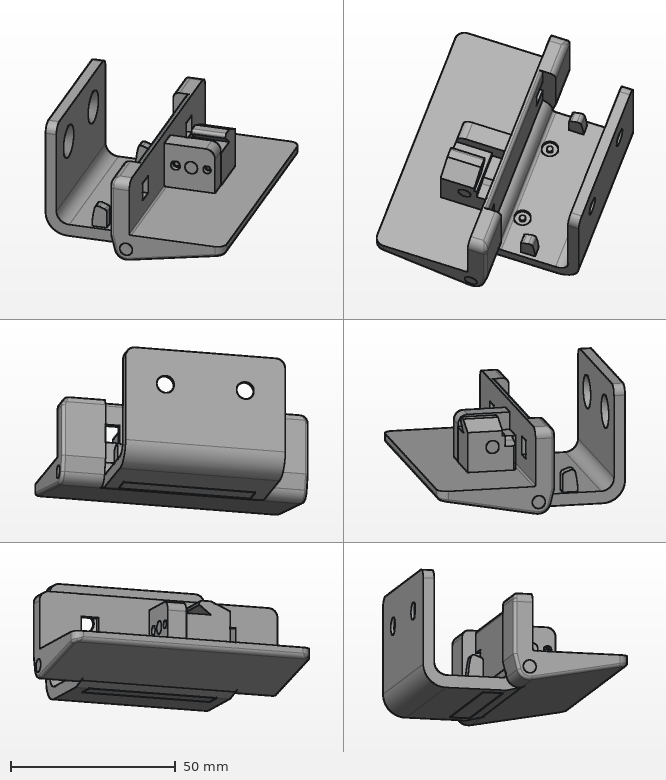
import cadquery as cq
import math

hinge_x = 29.9
hinge_z = 5.15
hinge_radius = 3.9
hinge_pin_radius = 2.0

bracket_width = 49.9
bracket_top = 36.7
bracket_wall = 3.5
bracket_bottom = 0.15
base_thickness = 3.85
bend_inner_radius = 4.0
bend_outer_radius = 7.0
bracket_corner_radius = 3.0
barrel_fillet = 1.0
slant_start_x = 26.0

mount_spacing = 24.95
mount_height = 25.7
mount_hole_radius = 2.7
mount_straight_depth = 1.0

hook_spacing = 44.1
hook_width = 3.2
hook_left = 14.4
hook_right = 19.1
hook_flank_mid_x = 14.7
hook_peak_x = 15.5
hook_peak_z = 11.25
hook_shoulder_z = 9.9
hook_corner_radius = 1.1

insert_left = 19.8
insert_right = slant_start_x
insert_length = 41.2
insert_top = 3.1
well_x = 22.4
well_radius = 2.55
post_radius = 0.9

door_length = 77.0
door_left = 24.9
door_right = 61.0
door_top = 28.1
wall_right = 30.9
plate_top = 10.1
plate_end_bottom = 7.1
slant_top = 9.0
door_corner_radius = 3.0
wall_top_radius = 2.0
plate_end_radius = 1.55
door_edge_radius = 1.0
inner_corner_radius = 0.55

recess_wall_x = 29.1
recess_edge_radius = 1.0
window_width = 5.55
window_bottom = 15.5
window_top = 21.2

block_right = 47.0
block_width = 6.0
block_top = 24.65
block_corner_radius = 3.0
spindle_x = 39.4
spindle_z = 17.6
spindle_radius = 2.0
socket_depth = 2.0
socket_tip_height = 0.7
socket_offset = 5.0
inner_socket_radius = 1.5
outer_socket_radius = 1.2

slider_back = 17.1
slider_left = 35.5
slider_right = 47.1
slider_base_top = 21.0
thumb_left = 36.35
thumb_top = 25.25
thumb_crest_y = 10.85
thumb_lip_y = 7.15
thumb_back_z = 22.55
thumb_lip_bottom = 23.9
thumb_lip_radius = 0.9
tongue_left = 31.95
tongue_top = 19.25
tongue_step_y = 12.6
tongue_step_drop = 0.8
tongue_back_drop = 1.6
tongue_bevel_x = 0.85
tongue_bevel_y = 1.4


def side_profile():
    """Sketch plane at Y = 0 whose axes are X and Z."""
    return cq.Workplane("XZ")


def box(x0, x1, y0, y1, z0, z1):
    return cq.Workplane("XY").box(x1 - x0, y1 - y0, z1 - z0, centered=False).translate((x0, y0, z0))


def nearest(x, y, z):
    return cq.selectors.NearestToPointSelector((x, y, z))


def y_cylinder(x, z, radius, y0, y1):
    return cq.Workplane("XZ", origin=(x, y1, z)).circle(radius).extrude(y1 - y0)


def hinge_tangent(x, z, side):
    """Point where a line from (x, z) touches the hinge round.

    Of the two such points, side picks the one counterclockwise (+1) or clockwise (-1)
    from the direction of (x, z), with X to the right and Z up.
    """
    to_point = math.atan2(z - hinge_z, x - hinge_x)
    swing = math.acos(hinge_radius / math.hypot(x - hinge_x, z - hinge_z))
    angle = to_point + side * swing
    return (hinge_x + hinge_radius * math.cos(angle), hinge_z + hinge_radius * math.sin(angle))


base_top = bracket_bottom + base_thickness
half_door = door_length / 2
half_bracket = bracket_width / 2
half_block = block_width / 2


def make_bracket():
    slant_end = hinge_tangent(slant_start_x, bracket_bottom, 1)
    plate = (
        side_profile()
        .moveTo(0, bracket_top)
        .lineTo(0, bracket_bottom)
        .lineTo(slant_start_x, bracket_bottom)
        .lineTo(*slant_end)
        .lineTo(hinge_x, hinge_z)
        .lineTo(hinge_x, base_top)
        .lineTo(bracket_wall, base_top)
        .lineTo(bracket_wall, bracket_top)
        .close()
        .extrude(half_bracket, both=True)
    )
    plate = plate.edges(nearest(0, 0, bracket_bottom)).fillet(bend_outer_radius)
    plate = plate.edges(nearest(bracket_wall, 0, base_top)).fillet(bend_inner_radius)
    plate = plate.edges("|X and >Z").fillet(bracket_corner_radius)

    barrel = y_cylinder(hinge_x, hinge_z, hinge_radius, -half_bracket, half_bracket)
    body = plate.union(barrel)
    junction_x = hinge_x - math.sqrt(hinge_radius**2 - (hinge_z - base_top) ** 2)
    body = body.edges(nearest(junction_x, 0, base_top)).fillet(barrel_fillet)

    for y in (-mount_spacing / 2, mount_spacing / 2):
        body = body.cut(make_mounting_hole(y)).cut(make_well(y))
    for y in (-hook_spacing / 2, hook_spacing / 2):
        body = body.union(make_hook().translate((0, y, 0)))

    body = body.cut(make_insert_plate())
    return body.cut(y_cylinder(hinge_x, hinge_z, hinge_pin_radius, -half_bracket, half_bracket))


def make_mounting_hole(y):
    """Hole through the wall, countersunk at 90 degrees from the inner side."""
    cone_depth = bracket_wall - mount_straight_depth
    straight = cq.Workplane("YZ", origin=(0, y, mount_height)).circle(mount_hole_radius).extrude(bracket_wall)
    cone = cq.Solid.makeCone(
        mount_hole_radius,
        mount_hole_radius + cone_depth,
        cone_depth,
        cq.Vector(mount_straight_depth, y, mount_height),
        cq.Vector(1, 0, 0),
    )
    return straight.union(cq.Workplane(cone))


def make_well(y):
    return cq.Workplane("XY", origin=(well_x, y, bracket_bottom)).circle(well_radius).extrude(base_thickness)


def make_hook():
    """Bulged flank on the left, top falling to the right, both top corners rounded."""
    hook = (
        side_profile()
        .moveTo(hook_left, base_top)
        .threePointArc((hook_flank_mid_x, (base_top + hook_peak_z) / 2), (hook_peak_x, hook_peak_z))
        .lineTo(hook_right, hook_shoulder_z)
        .lineTo(hook_right, base_top)
        .close()
        .extrude(hook_width / 2, both=True)
    )
    for x, z in ((hook_peak_x, hook_peak_z), (hook_right, hook_shoulder_z)):
        hook = hook.edges(nearest(x, 0, z)).fillet(hook_corner_radius)
    return hook


def make_insert_plate():
    return box(insert_left, insert_right, -insert_length / 2, insert_length / 2, 0, insert_top)


def make_insert():
    body = make_insert_plate()
    post_height = base_top - insert_top
    for y in (-mount_spacing / 2, mount_spacing / 2):
        post = cq.Workplane("XY", origin=(well_x, y, insert_top)).circle(post_radius).extrude(post_height)
        body = body.union(post)
    return body


def make_door_shell():
    """L-shaped outline along the full length, with rounded corners and outer edges."""
    diagonal = hinge_radius * math.sqrt(0.5)
    profile = (
        side_profile()
        .moveTo(door_left, door_top)
        .lineTo(door_left, slant_top)
        .lineTo(*hinge_tangent(door_left, slant_top, 1))
        .threePointArc(
            (hinge_x - diagonal, hinge_z - diagonal),
            hinge_tangent(door_right, plate_end_bottom, -1),
        )
        .lineTo(door_right, plate_end_bottom)
        .lineTo(door_right, plate_top)
        .lineTo(wall_right, plate_top)
        .lineTo(wall_right, door_top)
        .close()
        .extrude(half_door, both=True)
    )
    profile = profile.edges(nearest(wall_right, 0, plate_top)).fillet(inner_corner_radius)
    profile = profile.edges(nearest(door_left, 0, door_top)).fillet(wall_top_radius)
    profile = profile.edges(nearest(door_right, 0, plate_end_bottom)).fillet(plate_end_radius)

    wall_outline = box(door_left, door_right, -half_door, half_door, 0, door_top)
    wall_outline = wall_outline.edges("|X and >Z").fillet(door_corner_radius)
    plate_outline = box(door_left, door_right, -half_door, half_door, 0, door_top)
    plate_outline = plate_outline.edges("|Z and >X").fillet(door_corner_radius)
    shell = profile.intersect(wall_outline).intersect(plate_outline)

    side_edges = []
    for y in (-half_door, half_door):
        side_edges += shell.edges(nearest(door_left, y, hinge_z + door_top / 2)).vals()
        side_edges += shell.edges(nearest((wall_right + door_right) / 2, y, hinge_z)).vals()
    return shell.newObject(side_edges).fillet(door_edge_radius)


def make_recess():
    """Space in front of the thinned wall, between the ends that carry the hinge pin."""
    opening = box(door_left, recess_wall_x, -half_bracket, half_bracket, 0, door_top)
    barrel_space = y_cylinder(hinge_x, hinge_z, hinge_radius, -half_bracket, half_bracket)
    slant_end_x = hinge_tangent(slant_start_x, bracket_bottom, 1)[0]
    slant_space = box(recess_wall_x, slant_end_x, -half_bracket, half_bracket, 0, hinge_z)
    return opening.union(barrel_space).union(slant_space)


def make_bearing_block():
    block = box(wall_right, block_right, -half_block, half_block, plate_top, block_top)
    block = block.edges("|Y and >X and >Z").fillet(block_corner_radius)
    for x, radius in (
        (spindle_x - socket_offset, inner_socket_radius),
        (spindle_x + socket_offset, outer_socket_radius),
    ):
        block = block.cut(make_socket(x, radius))
    return block


def make_socket(x, radius):
    """Blind hole in the -Y face, with a blunt cone standing on its floor."""
    floor_y = socket_depth - half_block
    hole = y_cylinder(x, spindle_z, radius, -half_block, floor_y)
    cone = cq.Solid.makeCone(
        radius,
        radius - socket_tip_height,
        socket_tip_height,
        cq.Vector(x, floor_y, spindle_z),
        cq.Vector(0, -1, 0),
    )
    return hole.cut(cq.Workplane(cone))


def make_door():
    body = make_door_shell().cut(make_recess())
    body = body.edges(nearest(recess_wall_x, 0, door_top)).fillet(recess_edge_radius)
    for y in (half_bracket - window_width, -half_bracket):
        body = body.cut(box(door_left, wall_right, y, y + window_width, window_bottom, window_top))
    body = body.union(make_bearing_block())
    body = body.cut(y_cylinder(hinge_x, hinge_z, hinge_pin_radius, -half_door, half_door))
    return body.cut(y_cylinder(spindle_x, spindle_z, spindle_radius, -half_block, half_block))


def make_slider():
    base = box(slider_left, slider_right, half_block, slider_back, plate_top, slider_base_top)
    thumb = (
        cq.Workplane("YZ", origin=(thumb_left, 0, 0))
        .moveTo(slider_back, slider_base_top)
        .lineTo(slider_back, thumb_back_z)
        .lineTo(thumb_crest_y, thumb_top)
        .lineTo(thumb_lip_y, thumb_top)
        .lineTo(thumb_lip_y, thumb_lip_bottom)
        .lineTo(thumb_crest_y, slider_base_top)
        .close()
        .extrude(slider_right - thumb_left)
    )
    thumb_mid_x = (thumb_left + slider_right) / 2
    thumb = thumb.edges(nearest(thumb_mid_x, thumb_lip_y, thumb_top)).fillet(thumb_lip_radius)

    tongue = (
        cq.Workplane("YZ", origin=(tongue_left, 0, 0))
        .moveTo(thumb_crest_y, plate_top)
        .lineTo(thumb_crest_y, tongue_top)
        .lineTo(tongue_step_y, tongue_top - tongue_step_drop)
        .lineTo(slider_back, tongue_top - tongue_back_drop)
        .lineTo(slider_back, plate_top)
        .close()
        .extrude(slider_left - tongue_left)
    )
    bevel = (
        cq.Workplane("XY", origin=(tongue_left, slider_back, plate_top))
        .polyline([(0, 0), (tongue_bevel_x, 0), (0, -tongue_bevel_y)])
        .close()
        .extrude(tongue_top - plate_top)
    )
    tongue = tongue.cut(bevel)
    shoulder = box(
        wall_right, slider_left, half_block, thumb_crest_y, plate_top + inner_corner_radius, tongue_top
    )
    body = base.union(thumb).union(tongue).union(shoulder)
    return body.cut(y_cylinder(spindle_x, spindle_z, spindle_radius, half_block, slider_back))


def make_hinge_pin():
    return y_cylinder(hinge_x, hinge_z, hinge_pin_radius, -half_door, half_door)


def make_spindle():
    return y_cylinder(spindle_x, spindle_z, spindle_radius, -half_block, slider_back)


bracket = make_bracket()
insert = make_insert()
door = make_door()
slider = make_slider()
hinge_pin = make_hinge_pin()
spindle = make_spindle()

result = cq.Compound.makeCompound(
    [bracket.val(), insert.val(), door.val(), slider.val(), hinge_pin.val(), spindle.val()]
)